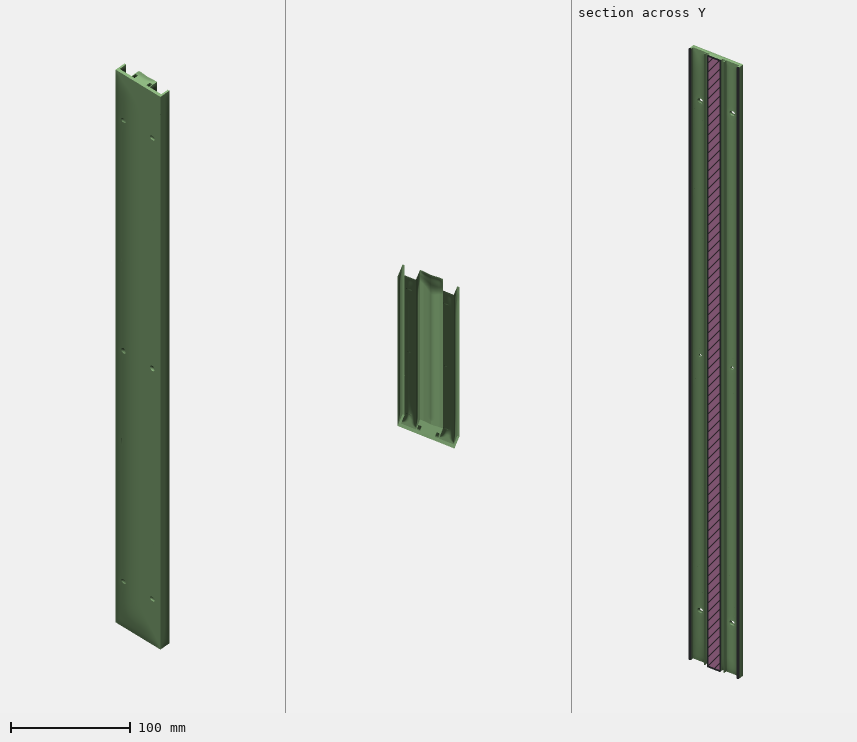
import cadquery as cq
import math

length = 609.5
width = 51.0
depth = 12.0

plate_thickness = 3.0
flange_thickness = 2.0
flange_depth = 11.0

rib_width = 21.0
rib_wall = 0.5
channel_width = 3.0
channel_depth = 4.0

groove_width = 14.5
groove_depth = 0.5

hole_spacing = 33.0
slot_offset = 254.0
slot_length = 5.5
slot_height = 4.0
screw_diameter = 3.0
countersink_diameter = 5.5
countersink_angle = 90

front_y = -depth / 2
plate_back_y = front_y + plate_thickness


def bar(x_center, y_start, x_size, y_size):
    """Full-length rectangular bar, centred in Z, growing toward +Y."""
    return (
        cq.Workplane("XY")
        .box(x_size, y_size, length, centered=(True, False, True))
        .translate((x_center, y_start, 0))
    )


def front_face(z):
    """Workplane on the front of the plate, facing outward, at height z."""
    return cq.Workplane("XZ", origin=(0, front_y, z))


hole_points = [(-hole_spacing / 2, 0), (hole_spacing / 2, 0)]

result = bar(0, front_y, width, plate_thickness)
result = result.union(bar(0, front_y, rib_width, depth))
for side in (-1, 1):
    flange_x = side * (width - flange_thickness) / 2
    result = result.union(bar(flange_x, front_y, flange_thickness, flange_depth))
    channel_x = side * (rib_width / 2 - rib_wall - channel_width / 2)
    result = result.cut(bar(channel_x, plate_back_y, channel_width, channel_depth))

back_y = depth / 2
groove_section = [
    (-groove_width / 2, back_y),
    (0, back_y - groove_depth),
    (groove_width / 2, back_y),
]
groove = cq.Workplane("XY").polyline(groove_section).close().extrude(length / 2, both=True)
result = result.cut(groove)

for z in (-slot_offset, slot_offset):
    slots = front_face(z).pushPoints(hole_points).slot2D(slot_length, slot_height)
    result = result.cut(slots.extrude(-plate_thickness))

screws = front_face(0).pushPoints(hole_points).circle(screw_diameter / 2).extrude(-plate_thickness)
sink_depth = (countersink_diameter - screw_diameter) / 2 / math.tan(math.radians(countersink_angle / 2))
result = result.cut(screws)
for x, z in hole_points:
    sink = cq.Solid.makeCone(
        countersink_diameter / 2,
        screw_diameter / 2,
        sink_depth,
        pnt=cq.Vector(x, front_y, z),
        dir=cq.Vector(0, 1, 0),
    )
    result = result.cut(cq.Workplane(obj=sink))